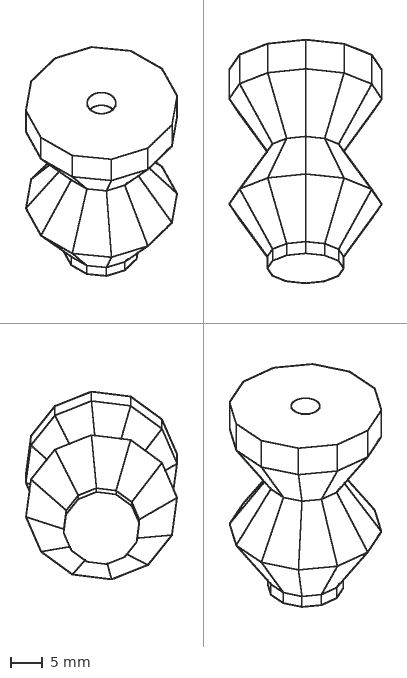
import cadquery as cq

total_height = 34.0
side_count = 12
wide_diameter = 24.0
narrow_diameter = wide_diameter / 2

foot_height = 2.0
head_height = 5.0
taper_count = 3
taper_height = (total_height - foot_height - head_height) / taper_count

hole_diameter = 4.5
hole_depth = 3.0


def twelve_sided_prism(bottom, height, diameter):
    """Straight section with corners on the X and Y axes."""
    return cq.Workplane("XY", origin=(0, 0, bottom)).polygon(side_count, diameter).extrude(height)


def twelve_sided_taper(bottom, lower_diameter, upper_diameter):
    """Tapered section with flat sides between two polygons."""
    return (
        cq.Workplane("XY", origin=(0, 0, bottom))
        .polygon(side_count, lower_diameter)
        .workplane(offset=taper_height)
        .polygon(side_count, upper_diameter)
        .loft(ruled=True)
    )


body = twelve_sided_prism(0, foot_height, narrow_diameter)
lower_diameter, upper_diameter = narrow_diameter, wide_diameter
for index in range(taper_count):
    taper_bottom = foot_height + index * taper_height
    body = body.union(twelve_sided_taper(taper_bottom, lower_diameter, upper_diameter))
    lower_diameter, upper_diameter = upper_diameter, lower_diameter
body = body.union(twelve_sided_prism(total_height - head_height, head_height, wide_diameter))

hole = (
    cq.Workplane("XY", origin=(0, 0, total_height - hole_depth))
    .circle(hole_diameter / 2)
    .extrude(hole_depth)
)
result = body.cut(hole)